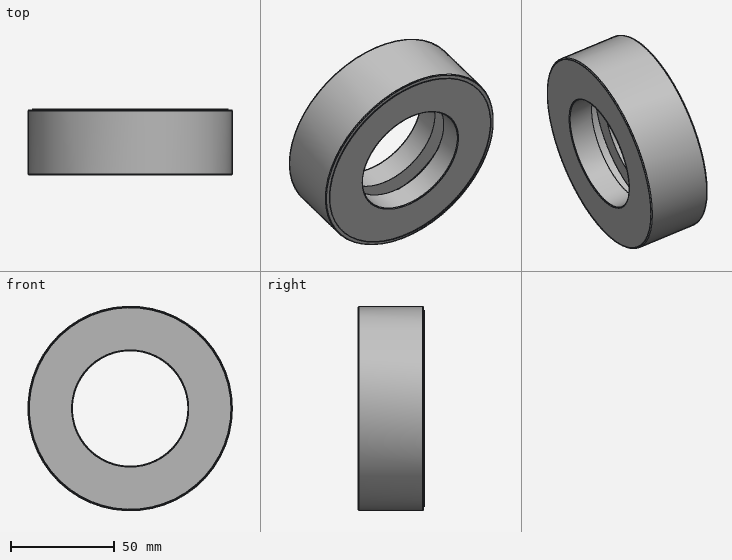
import cadquery as cq

outer_diameter = 98.4
bore_diameter = 55.6
total_width = 31.8

front_ring_width = 12.4
groove_width = 7.6
rear_protrusion = 0.4
shell_width = total_width - rear_protrusion
rear_ring_start = front_ring_width + groove_width
rear_ring_width = total_width - rear_ring_start

front_ring_diameter = 97.0
rear_ring_diameter = 94.4
groove_diameter = 74.2

front_rim_diameter = 97.4
front_chamfer = (outer_diameter - front_rim_diameter) / 2
rear_chamfer_width = 0.5
rear_chamfer_depth = 0.3
bore_chamfer = 0.4

front_y = -total_width / 2


def disc(diameter, start, width):
    """Solid disc on the Y axis, starting at a distance behind the front face."""
    plane = cq.Workplane("XZ", origin=(0, front_y + start, 0))
    return plane.circle(diameter / 2).extrude(-width)


def make_shell():
    """Outer shell with a seat at each end and an inner wall that forms the groove floor."""
    body = disc(outer_diameter, 0, shell_width)
    body = body.faces("<Y").chamfer(front_chamfer)
    body = body.faces(">Y").chamfer(rear_chamfer_width, rear_chamfer_depth)
    body = body.cut(disc(front_ring_diameter, 0, front_ring_width))
    body = body.cut(disc(groove_diameter, front_ring_width, groove_width))
    return body.cut(disc(rear_ring_diameter, rear_ring_start, rear_ring_width))


def make_bored_ring(diameter, start, width, outward_face):
    """Ring whose bore is chamfered at the face that looks out of the assembly."""
    body = disc(diameter, start, width).cut(disc(bore_diameter, start, width))
    bore_edge = cq.selectors.RadiusNthSelector(0)
    return body.faces(outward_face).edges(bore_edge).chamfer(bore_chamfer)


shell = make_shell()

front_ring = make_bored_ring(front_ring_diameter, 0, front_ring_width, "<Y")
rear_ring = make_bored_ring(rear_ring_diameter, rear_ring_start, rear_ring_width, ">Y")

result = cq.Compound.makeCompound([shell.val(), front_ring.val(), rear_ring.val()])